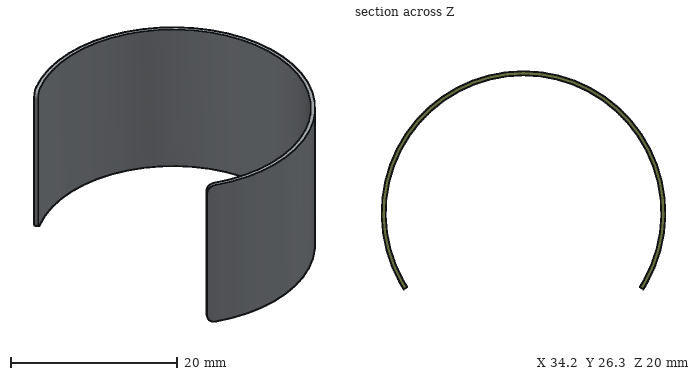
import cadquery as cq
import math

outer_radius = 17.1
wall = 0.5
height = 20.0
tip_drop = 9.2
corner_radius = 1.0

inner_radius = outer_radius - wall
tip_angle = math.asin(tip_drop / outer_radius)
right_angle = -tip_angle
left_angle = math.pi + tip_angle


def polar_point(radius, angle):
    return radius * math.cos(angle), radius * math.sin(angle)


def make_band():
    """Extrude the C-shaped section, with radial end faces, centred on Z = 0."""
    return (
        cq.Workplane("XY")
        .moveTo(*polar_point(outer_radius, right_angle))
        .threePointArc((0, outer_radius), polar_point(outer_radius, left_angle))
        .lineTo(*polar_point(inner_radius, left_angle))
        .threePointArc((0, inner_radius), polar_point(inner_radius, right_angle))
        .close()
        .extrude(height / 2, both=True)
    )


def round_corners(band):
    """Round the four corners of the free ends.

    Their edges cross the wall and are the only straight horizontal edges.
    """
    return band.edges("%LINE").edges("#Z").fillet(corner_radius)


result = round_corners(make_band())